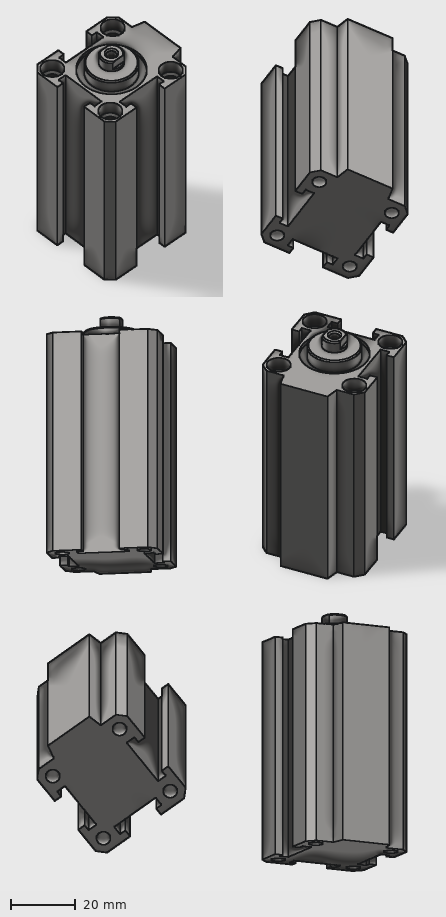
import cadquery as cq

total_height = 76.0
tip_height = 7.0
housing_height = total_height - tip_height

housing_width = 35.0
half_width = housing_width / 2
corner_chamfer = 2.5
total_depth = 39.5
rail_y = total_depth - half_width
rail_half_tip = 8.05
rail_half_root = 9.1

slot_half_opening = 6.0
slot_half_inside = 8.05
slot_floor = 12.0
slot_lip = 2.5

hole_pitch = 26.0
hole_diameter = 4.3
counterbore_diameter = 7.5
counterbore_depth = 4.5

recess_diameter = 22.0
recess_depth = 1.3
collar_diameter = 17.0
collar_height = 3.05
edge_chamfer = 0.45

rod_diameter = 8.0
rod_length = 38.0
rod_bottom = total_height - rod_length
flat_width = 6.2
flat_length = 3.0
thread_diameter = 3.3
thread_depth = 9.1
thread_chamfer = 0.5


def cylinder(diameter, bottom, top):
    """Solid cylinder on the rod axis."""
    return cq.Workplane("XY").workplane(offset=bottom).circle(diameter / 2).extrude(top - bottom)


def make_slot():
    """T-slot cutter opening towards -Y, over the full housing height."""
    depth = half_width - slot_floor
    opening = cq.Workplane("XY").box(
        2 * slot_half_opening, depth, housing_height, centered=(True, False, False)
    )
    inside = cq.Workplane("XY").box(
        2 * slot_half_inside, depth - slot_lip, housing_height, centered=(True, False, False)
    )
    opening = opening.translate((0, -half_width, 0))
    inside = inside.translate((0, -half_width + slot_lip, 0))
    return opening.union(inside)


def make_housing():
    """Slotted cylinder housing with its rail, collar, mounting holes and rod bore."""
    body = (
        cq.Workplane("XY")
        .rect(housing_width, housing_width)
        .extrude(housing_height)
        .edges("|Z")
        .chamfer(corner_chamfer)
    )
    rail = (
        cq.Workplane("XY")
        .moveTo(-rail_half_root, 0)
        .lineTo(-rail_half_root, half_width)
        .lineTo(-rail_half_tip, rail_y)
        .lineTo(rail_half_tip, rail_y)
        .lineTo(rail_half_root, half_width)
        .lineTo(rail_half_root, 0)
        .close()
        .extrude(housing_height)
    )
    body = body.union(rail)

    for angle in (-90, 0, 90):
        body = body.cut(make_slot().rotate((0, 0, 0), (0, 0, 1), angle))

    body = (
        body.faces(">Z")
        .workplane(origin=(0, 0, housing_height))
        .rect(hole_pitch, hole_pitch, forConstruction=True)
        .vertices()
        .cboreHole(hole_diameter, counterbore_diameter, counterbore_depth)
    )

    recess_floor = housing_height - recess_depth
    body = body.cut(cylinder(recess_diameter, recess_floor, housing_height))
    collar = cylinder(collar_diameter, recess_floor, housing_height + collar_height)
    body = body.union(collar.faces(">Z").edges().chamfer(edge_chamfer))
    return body.cut(cylinder(rod_diameter, rod_bottom, total_height))


def make_rod():
    """Piston rod with two wrench flats and a blind threaded hole in its tip."""
    rod = cylinder(rod_diameter, rod_bottom, total_height).faces(">Z").edges().chamfer(edge_chamfer)
    flat_bottom = total_height - flat_length
    between_flats = (
        cq.Workplane("XY")
        .workplane(offset=flat_bottom)
        .rect(flat_width, rod_diameter)
        .extrude(flat_length)
    )
    rod = rod.cut(cylinder(rod_diameter, flat_bottom, total_height).cut(between_flats))

    thread_hole = cylinder(thread_diameter, total_height - thread_depth, total_height)
    countersink = cq.Workplane(
        cq.Solid.makeCone(
            thread_diameter / 2,
            thread_diameter / 2 + thread_chamfer,
            thread_chamfer,
            pnt=cq.Vector(0, 0, total_height - thread_chamfer),
        )
    )
    return rod.cut(thread_hole).cut(countersink)


housing = make_housing()
rod = make_rod()
result = cq.Compound.makeCompound([housing.val(), rod.val()])